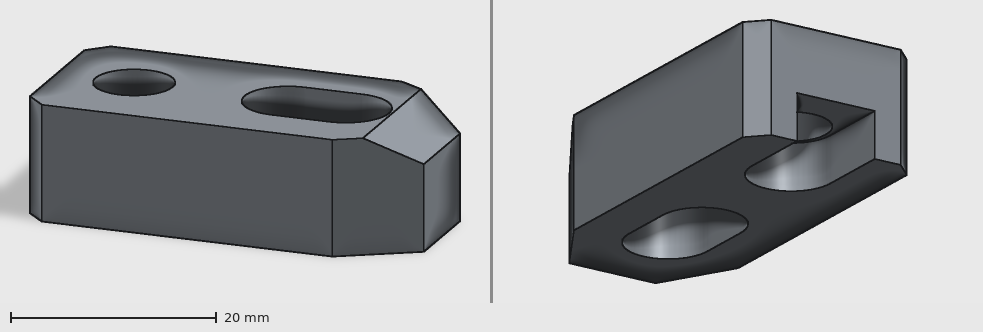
import cadquery as cq
import math

length = 40.0
width = 19.0
height = 12.0

back_chamfer = 2.0
nose_width = 10.0
nose_drop = 3.0
nose_angle = math.radians(30)

hole_diameter = 8.0
hole_x = 8.0

slot_length = 15.0
slot_width = 9.0
slot_x = 27.0

channel_width = slot_width
channel_depth = 5.0

half_width = width / 2
nose_taper_length = (half_width - nose_width / 2) / math.tan(nose_angle)
nose_bevel_length = nose_drop / math.tan(nose_angle)


def make_body():
    """Block with chamfered back corners and a nose narrowing towards +X."""
    half_outline = [
        (0, 0),
        (0, half_width - back_chamfer),
        (back_chamfer, half_width),
        (length - nose_taper_length, half_width),
        (length, nose_width / 2),
        (length, 0),
    ]
    return cq.Workplane("XY").polyline(half_outline).mirrorX().extrude(height)


def make_nose_bevel():
    """Wedge that slopes the top of the nose down to its tip."""
    wedge_outline = [
        (length - nose_bevel_length, height),
        (length, height),
        (length, height - nose_drop),
    ]
    return cq.Workplane("XZ").polyline(wedge_outline).close().extrude(half_width, both=True)


def make_hole():
    return cq.Workplane("XY").center(hole_x, 0).circle(hole_diameter / 2).extrude(height)


def make_slot():
    return cq.Workplane("XY").center(slot_x, 0).slot2D(slot_length, slot_width).extrude(height)


def make_channel():
    """Straight run from the back face to a round end concentric with the hole."""
    run = cq.Workplane("XY").center(hole_x / 2, 0).rect(hole_x, channel_width).extrude(channel_depth)
    round_end = cq.Workplane("XY").center(hole_x, 0).circle(channel_width / 2).extrude(channel_depth)
    return run.union(round_end)


result = (
    make_body()
    .cut(make_nose_bevel())
    .cut(make_hole())
    .cut(make_slot())
    .cut(make_channel())
)